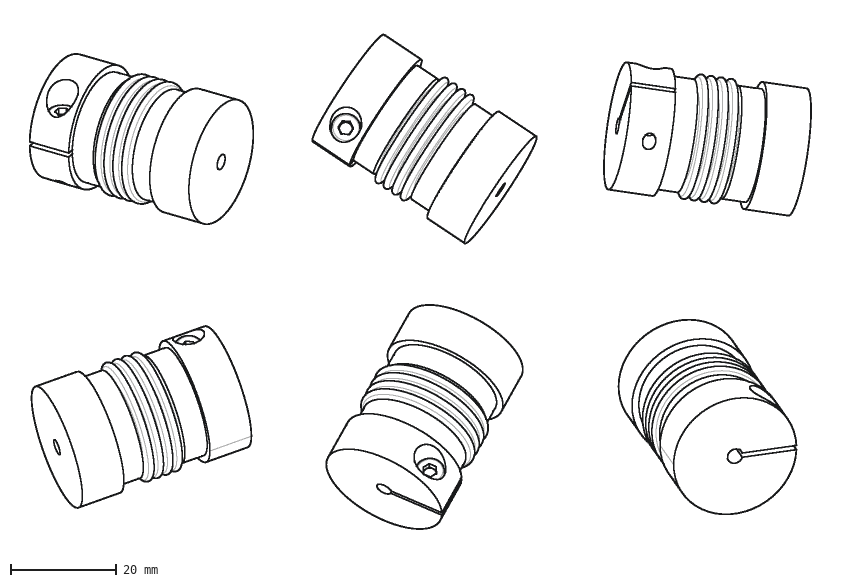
import cadquery as cq
import math


total_length = 35.0
hub_diameter = 24.5
hub_length = 8.6
collar_diameter = 21.8
collar_length = 4.6
bore_diameter = 3.0

crest_count = 4
crest_diameter = 24.0
root_diameter = 16.4
crest_width = 1.15
bellows_length = total_length - 2 * (hub_length + collar_length)
groove_width = (bellows_length - crest_count * crest_width) / (crest_count + 1)

slit_width = 0.9

screw_end_distance = 4.5
screw_x = -total_length / 2 + screw_end_distance
screw_y = -7.5
counterbore_diameter = 6.0
clearance_diameter = 3.4
tapped_diameter = 2.5
seat_z = 3.0
head_diameter = 5.5
head_height = 3.0
head_round = 0.3
shank_diameter = 3.0
shank_length = 10.0
hex_across_flats = 2.5
hex_depth = 1.3
hex_cone_angle = 120.0


def cylinder_x(diameter, x_start, length):
    """Solid cylinder on the X axis."""
    return cq.Workplane("YZ", origin=(x_start, 0, 0)).circle(diameter / 2).extrude(length)


def cylinder_z(diameter, z_start, length):
    """Solid cylinder on the screw axis, built upwards from z_start."""
    return cq.Workplane("XY", origin=(screw_x, screw_y, z_start)).circle(diameter / 2).extrude(length)


def make_bellows():
    """Solid bellows: fully rounded crests joined by fully rounded roots, turned about X."""
    crest_radius = crest_width / 2
    root_radius = groove_width / 2
    crest_top = crest_diameter / 2
    root_bottom = root_diameter / 2
    wall_top = crest_top - crest_radius
    wall_bottom = root_bottom + root_radius
    x = -bellows_length / 2

    profile = cq.Workplane("XY").moveTo(x, 0).lineTo(x, wall_bottom)
    for _ in range(crest_count):
        profile = profile.threePointArc((x + root_radius, root_bottom), (x + groove_width, wall_bottom))
        x += groove_width
        profile = profile.lineTo(x, wall_top)
        profile = profile.threePointArc((x + crest_radius, crest_top), (x + crest_width, wall_top))
        x += crest_width
        profile = profile.lineTo(x, wall_bottom)
    profile = profile.threePointArc((x + root_radius, root_bottom), (x + groove_width, wall_bottom))
    profile = profile.lineTo(x + groove_width, 0).close()
    return profile.revolve(360, (0, 0, 0), (1, 0, 0))


def make_body():
    """Turned body: hub, collar, bellows, collar, hub."""
    half_length = total_length / 2
    collar_start = bellows_length / 2
    body = make_bellows()
    body = body.union(cylinder_x(collar_diameter, -collar_start - collar_length, collar_length))
    body = body.union(cylinder_x(collar_diameter, collar_start, collar_length))
    body = body.union(cylinder_x(hub_diameter, -half_length, hub_length))
    body = body.union(cylinder_x(hub_diameter, half_length - hub_length, hub_length))
    return body


def cut_bore(body):
    """Shaft bore through the whole coupling."""
    return body.cut(cylinder_x(bore_diameter, -total_length / 2, total_length))


def cut_slit(body):
    """Slit that lets the left hub close on the shaft."""
    slit = cq.Workplane("XY").box(hub_length, hub_diameter / 2, slit_width)
    slit = slit.translate((-total_length / 2 + hub_length / 2, -hub_diameter / 4, 0))
    return body.cut(slit)


def cut_screw_hole(body):
    """Counterbore from the top, clearance hole down to the slit, tapped hole below it."""
    body = body.cut(cylinder_z(counterbore_diameter, seat_z, hub_diameter))
    body = body.cut(cylinder_z(clearance_diameter, 0, seat_z))
    return body.cut(cylinder_z(tapped_diameter, -hub_diameter, hub_diameter))


def make_screw():
    """Socket head screw with a hexagon socket ending in a drill cone."""
    head_top = seat_z + head_height
    socket_floor = head_top - hex_depth
    cone_radius = hex_across_flats / 2
    cone_height = cone_radius / math.tan(math.radians(hex_cone_angle / 2))
    across_corners = hex_across_flats / math.cos(math.pi / 6)

    head = cylinder_z(head_diameter, seat_z, head_height).faces(">Z").edges().fillet(head_round)
    socket = (
        cq.Workplane("XY", origin=(screw_x, screw_y, socket_floor))
        .polygon(6, across_corners)
        .extrude(hex_depth)
        .rotate((screw_x, screw_y, 0), (screw_x, screw_y, 1), 90)
    )
    cone = cq.Workplane(
        cq.Solid.makeCone(
            cone_radius, 0, cone_height, cq.Vector(screw_x, screw_y, socket_floor), cq.Vector(0, 0, -1)
        )
    )
    shank = cylinder_z(shank_diameter, seat_z - shank_length, shank_length)
    return head.cut(socket).cut(cone).union(shank)


coupling = cut_screw_hole(cut_slit(cut_bore(make_body())))
result = coupling.union(make_screw())